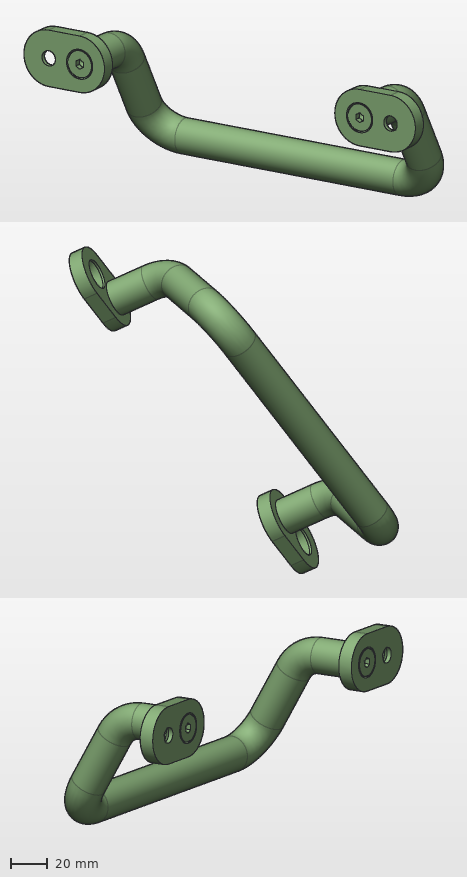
import cadquery as cq
import math

overall_length = 252.0
foot_height = 32.0
foot_thickness = 8.0
hole_spacing = 20.0
fixing_hole_diameter = 8.5
fixing_countersink_diameter = 17.0
fixing_head_recess = 1.3
fixing_cone_end = foot_thickness - fixing_head_recess
fixing_cone_start = fixing_cone_end - (fixing_countersink_diameter - fixing_hole_diameter) / 2
foot_end_radius = foot_height / 2
fixing_x = overall_length / 2 - foot_end_radius
leg_x = fixing_x - hole_spacing
foot_x = (fixing_x + leg_x) / 2

bar_diameter = 20.0
bend_radius = 20.0
slope_angle = 60.0
leg_end = 30.0
arm_length = 53.7
slope = math.radians(slope_angle)
arm_top_y = leg_end + bend_radius * math.sin(slope)
arm_top_z = -bend_radius * (1 - math.cos(slope))
arm_straight = arm_length - bend_radius
grip_half_length = leg_x - bend_radius

countersink_diameter = 17.0
head_diameter = 15.4
shank_diameter = 8.0
shank_length = 22.7
rim_height = (countersink_diameter - head_diameter) / 2
cone_end = (countersink_diameter - shank_diameter) / 2
screw_tip = cone_end + shank_length

socket_sides = 6
socket_across_flats = 4.8
socket_depth = 3.3
socket_floor_angle = 120.0
socket_corner_radius = socket_across_flats / 2 / math.cos(math.pi / socket_sides)
socket_floor_depth = socket_corner_radius / math.tan(math.radians(socket_floor_angle / 2))

sides = (-1, 1)


def cylinder(x, diameter, y_start, y_end):
    """Round bar along +Y at Z = 0."""
    start = cq.Vector(x, y_start, 0)
    return cq.Workplane(cq.Solid.makeCylinder(diameter / 2, y_end - y_start, start, cq.Vector(0, 1, 0)))


def cone(x, start_diameter, end_diameter, y_start, y_end):
    """Tapered bar along +Y at Z = 0."""
    start = cq.Vector(x, y_start, 0)
    axis = cq.Vector(0, 1, 0)
    return cq.Workplane(
        cq.Solid.makeCone(start_diameter / 2, end_diameter / 2, y_end - y_start, start, axis)
    )


def make_foot(side):
    """Rounded plate with a fixing hole sunk from the back and a screw hole sunk from the front."""
    screw_x = side * leg_x
    plate = (
        cq.Workplane("XZ")
        .center(side * foot_x, 0)
        .slot2D(hole_spacing + foot_height, foot_height)
        .extrude(-foot_thickness)
    )
    fixing_hole = cylinder(side * fixing_x, fixing_hole_diameter, 0, foot_thickness)
    fixing_countersink = cone(
        side * fixing_x,
        fixing_hole_diameter,
        fixing_countersink_diameter,
        fixing_cone_start,
        fixing_cone_end,
    )
    head_recess = cylinder(
        side * fixing_x, fixing_countersink_diameter, fixing_cone_end, foot_thickness
    )
    screw_hole = cylinder(screw_x, shank_diameter, 0, foot_thickness)
    countersink = cone(screw_x, countersink_diameter, shank_diameter, 0, cone_end)
    plate = plate.cut(fixing_hole).cut(fixing_countersink).cut(head_recess)
    return plate.cut(screw_hole).cut(countersink)


def make_leg(side):
    """Straight leg from the foot and the bend that turns it down into the arm."""
    straight = cylinder(side * leg_x, bar_diameter, foot_thickness, leg_end)
    bend = (
        cq.Workplane("XZ", origin=(side * leg_x, leg_end, 0))
        .circle(bar_diameter / 2)
        .revolve(slope_angle, (0, -bend_radius), (-1, -bend_radius))
    )
    return straight.union(bend)


def make_arms_and_grip():
    """U-shaped bar lying in the sloping plane of the two arms."""
    arm_direction = cq.Vector(0, math.cos(slope), -math.sin(slope))
    x_direction = cq.Vector(1, 0, 0)
    u_plane = cq.Plane(
        origin=(0, arm_top_y, arm_top_z),
        xDir=x_direction,
        normal=x_direction.cross(arm_direction),
    )
    arm_end = cq.Plane(
        origin=(-leg_x, arm_top_y, arm_top_z), xDir=x_direction, normal=arm_direction
    )
    path = (
        cq.Workplane(u_plane)
        .moveTo(-leg_x, 0)
        .lineTo(-leg_x, arm_straight)
        .tangentArcPoint((-grip_half_length, arm_length), relative=False)
        .lineTo(grip_half_length, arm_length)
        .tangentArcPoint((leg_x, arm_straight), relative=False)
        .lineTo(leg_x, 0)
    )
    return cq.Workplane(arm_end).circle(bar_diameter / 2).sweep(path)


def make_handle():
    """One bent bar with a screw hole in the end of each leg."""
    handle = make_arms_and_grip()
    for side in sides:
        screw_hole = cylinder(side * leg_x, shank_diameter, foot_thickness, screw_tip)
        handle = handle.union(make_leg(side)).cut(screw_hole)
    return handle


def make_socket(x):
    """Hexagonal prism, corners up and down, ending in a cone that forms the socket floor."""
    sector = math.radians(360 / socket_sides)
    hexagon_points = [
        (
            socket_corner_radius * math.sin(sector * corner),
            socket_corner_radius * math.cos(sector * corner),
        )
        for corner in range(socket_sides)
    ]
    hexagon = (
        cq.Workplane("XZ", origin=(x, 0, 0))
        .polyline(hexagon_points)
        .close()
        .extrude(-(socket_depth + socket_floor_depth))
    )
    straight_part = cylinder(x, 2 * socket_corner_radius, 0, socket_depth)
    floor = cone(x, 2 * socket_corner_radius, 0, socket_depth, socket_depth + socket_floor_depth)
    return hexagon.intersect(straight_part.union(floor))


def make_screw(side):
    """Countersunk screw that joins a foot to a leg of the handle."""
    x = side * leg_x
    rim = cylinder(x, head_diameter, 0, rim_height)
    head = cone(x, head_diameter, shank_diameter, rim_height, cone_end)
    shank = cylinder(x, shank_diameter, cone_end, screw_tip)
    return rim.union(head).union(shank).cut(make_socket(x))


handle = make_handle()
feet = [make_foot(side) for side in sides]
screws = [make_screw(side) for side in sides]

result = cq.Compound.makeCompound(
    [handle.val(), *[foot.val() for foot in feet], *[screw.val() for screw in screws]]
)